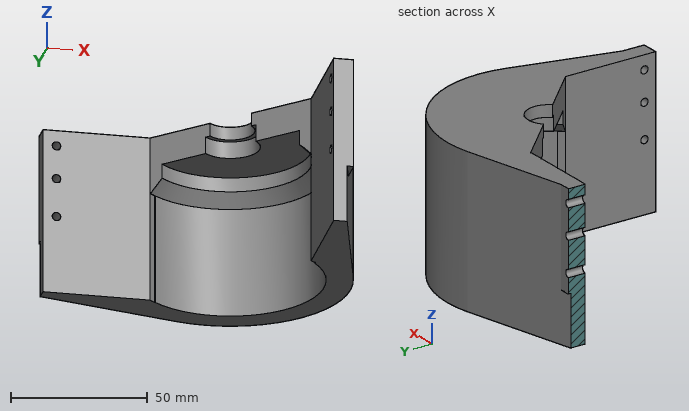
import cadquery as cq
import math

side = 109.9
height = 64.1

back_radius = 45.0
axis = side - back_radius

inner_wall = 89.9
inner_corner = 40.1
tip_thickness = 5.0
pad_thickness = 7.5
pad_height = 42.2

neck_radius = 9.0
neck_depth = 5.0
collar_radius = 11.0
collar_depth = 11.5
seat_radius = 30.0
seat_depth = 17.0
cone_depth = 22.0
bore_radius = 35.0

mouth_depth = 3.0
mouth_width = (inner_wall - inner_corner) * math.sqrt(2)

hole_diameter = 3.2
hole_from_tip = 5.0
hole_depths = (6.0, 19.0, 34.0)


def mirrored(point):
    """Reflect a plan point across the diagonal x = y."""
    return (point[1], point[0])


def body():
    """Two tapered arms joined by a round back and a diagonal inner face."""
    tip = (0, inner_wall + tip_thickness)
    run = axis - tip[0]
    rise = axis - tip[1]
    reach = math.hypot(run, rise)
    angle = math.atan2(-rise, -run) - math.acos(back_radius / reach)
    tangent = (axis + back_radius * math.cos(angle), axis + back_radius * math.sin(angle))
    back_middle = axis + back_radius / math.sqrt(2)
    tip_inner = (0, inner_wall)
    corner = (inner_corner, inner_wall)
    return (
        cq.Workplane("XY")
        .moveTo(*tip_inner)
        .lineTo(*tip)
        .lineTo(*tangent)
        .threePointArc((back_middle, back_middle), mirrored(tangent))
        .lineTo(*mirrored(tip))
        .lineTo(*mirrored(tip_inner))
        .lineTo(*mirrored(corner))
        .lineTo(*corner)
        .close()
        .extrude(height)
    )


def pads():
    """Upper parts of the arm tips, thickened until they run into the taper."""
    bottom = height - pad_height
    along_x = cq.Workplane("XY").box(inner_corner, pad_thickness, pad_height, centered=False)
    along_y = cq.Workplane("XY").box(pad_thickness, inner_corner, pad_height, centered=False)
    return along_x.translate((0, inner_wall, bottom)).union(along_y.translate((inner_wall, 0, bottom)))


def stepped_bore():
    """Revolved cutter: neck, collar, seat, cone and main bore."""
    return (
        cq.Workplane("XZ")
        .moveTo(0, 0)
        .lineTo(bore_radius, 0)
        .lineTo(bore_radius, height - cone_depth)
        .lineTo(seat_radius, height - seat_depth)
        .lineTo(seat_radius, height - collar_depth)
        .lineTo(collar_radius, height - collar_depth)
        .lineTo(collar_radius, height - neck_depth)
        .lineTo(neck_radius, height - neck_depth)
        .lineTo(neck_radius, height)
        .lineTo(0, height)
        .close()
        .revolve(360, (0, 0, 0), (0, 1, 0))
        .translate((axis, axis, 0))
    )


def bore_mouth():
    """Shallow rectangular cutter with its outer side on the diagonal face."""
    face_middle = (inner_corner + inner_wall) / 2
    return (
        cq.Workplane("XY")
        .box(mouth_depth, mouth_width, height - cone_depth, centered=(False, True, False))
        .rotate((0, 0, 0), (0, 0, 1), 45)
        .translate((face_middle, face_middle, 0))
    )


def screw_holes():
    """One column of holes near the tip of each arm."""
    radius = hole_diameter / 2
    start = inner_wall - pad_thickness
    length = 3 * pad_thickness
    cutters = cq.Workplane("XY")
    for depth in hole_depths:
        z = height - depth
        for base, direction in (
            ((hole_from_tip, start, z), (0, 1, 0)),
            ((start, hole_from_tip, z), (1, 0, 0)),
        ):
            cutters = cutters.add(
                cq.Solid.makeCylinder(radius, length, cq.Vector(*base), cq.Vector(*direction))
            )
    return cutters.combine()


result = body().union(pads()).cut(stepped_bore()).cut(bore_mouth()).cut(screw_holes())